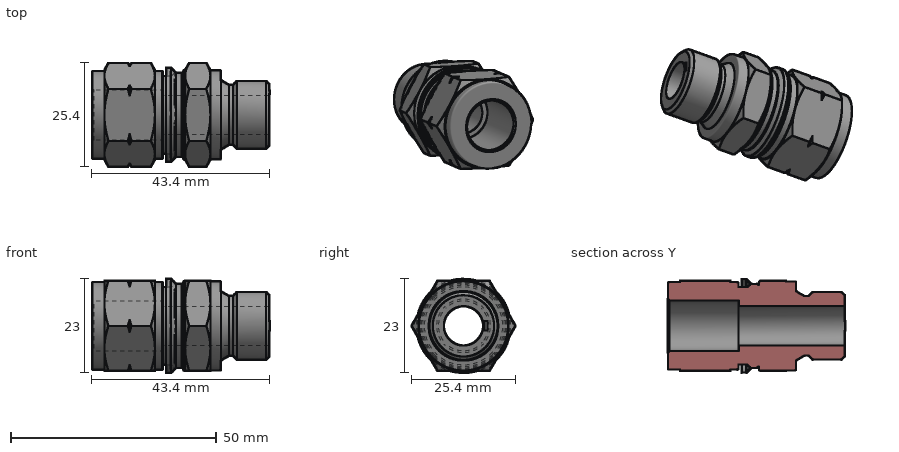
import cadquery as cq
import math

TUBE_END_DIA = 21.5
TUBE_END_ROUND = 0.4
NUT_HEX_START = 3.0
NUT_HEX_END = 15.3
NUT_END = 17.3
NUT_END_CHAMFER = 0.25

HEX_SIDES = 6
HEX_ACROSS_FLATS = 22.0
HEX_ACROSS_CORNERS = HEX_ACROSS_FLATS / math.cos(math.pi / HEX_SIDES)
HEX_CORNER_DROP = (HEX_ACROSS_CORNERS - HEX_ACROSS_FLATS) / 2
HEX_CHAMFER_ANGLE = 30.0
HEX_CHAMFER_LENGTH = HEX_CORNER_DROP * math.tan(math.radians(HEX_CHAMFER_ANGLE))
HEX_END_CLEARANCE = 0.01

NOTCH_DEPTH = 0.75
NOTCH_HALF_WIDTH = 0.45

NECK_DIA = 19.05
FLANGE_DIA = 23.0
FLANGE_START = 18.05
FLANGE_END = 19.25
FLANGE_WALL = 0.25
FLANGE_SLOPE_ANGLE = 45.0
RAMP_START = 19.4
SHOULDER_DIA = 20.6
SHOULDER_DROP = (FLANGE_DIA - SHOULDER_DIA) / 2
SHOULDER_START = FLANGE_END + SHOULDER_DROP / math.tan(math.radians(FLANGE_SLOPE_ANGLE))
SHOULDER_CHAMFER = 0.35

BODY_START = 22.2
BODY_ROUND = 0.5
BODY_HEX_START = BODY_START + BODY_ROUND
BODY_HEX_END = 28.83
COLLAR_DIA = 21.8
COLLAR_END = 31.4
COLLAR_ROUND = 0.3

SEAT_DIA = 17.0
RELIEF_DIA = 14.7
RELIEF_START = 33.35
RELIEF_END = 34.37
STUD_DIA = 16.62
STUD_START = RELIEF_END + (STUD_DIA - RELIEF_DIA) / 2
STUD_END = 43.25
STUD_CHAMFER = 0.83

PAD_HEIGHT = 0.1
PAD_RADIAL = 0.8
PAD_WIDTH = 2.3
PAD_CENTRE_Y = 5.5

BORE_DIA = 9.5
TUBE_SOCKET_DIA = 12.2
TUBE_SOCKET_DEPTH = 17.3
SOCKET_MOUTH_DIA = 13.1


def round_bar(start, end, dia):
    """Cylinder along X between two stations."""
    return cq.Workplane("YZ", origin=(start, 0, 0)).circle(dia / 2).extrude(end - start)


def revolve_profile(points):
    """Solid turned about the X axis from a closed (station, radius) outline."""
    return cq.Workplane("XY").polyline(points).close().revolve(360, (0, 0, 0), (1, 0, 0))


def cone(start, end, start_dia, end_dia):
    """Cone frustum along X between two stations."""
    profile = [(start, 0), (start, start_dia / 2), (end, end_dia / 2), (end, 0)]
    return revolve_profile(profile)


def chamfered_hexagon(start, end):
    """Hexagon along X, flats up and down, corners turned off conically at both ends."""
    hexagon = (
        cq.Workplane("YZ", origin=(start, 0, 0))
        .polygon(HEX_SIDES, HEX_ACROSS_CORNERS)
        .extrude(end - start)
    )
    end_radius = HEX_ACROSS_FLATS / 2 - HEX_END_CLEARANCE
    corner_radius = HEX_ACROSS_CORNERS / 2
    envelope = revolve_profile([
        (start, 0),
        (start, end_radius),
        (start + HEX_CHAMFER_LENGTH, corner_radius),
        (end - HEX_CHAMFER_LENGTH, corner_radius),
        (end, end_radius),
        (end, 0),
    ])
    return hexagon.intersect(envelope)


def corner_notches():
    """Ring-shaped V cutter that reaches only the corners of the nut hexagon."""
    middle = (NUT_HEX_START + NUT_HEX_END) / 2
    corner_radius = HEX_ACROSS_CORNERS / 2
    profile = [
        (middle - NOTCH_HALF_WIDTH, corner_radius),
        (middle, corner_radius - NOTCH_DEPTH),
        (middle + NOTCH_HALF_WIDTH, corner_radius),
    ]
    return revolve_profile(profile)


def make_nut():
    tube_end = round_bar(0, NUT_HEX_START, TUBE_END_DIA).faces("<X").edges().fillet(TUBE_END_ROUND)
    hexagon = chamfered_hexagon(NUT_HEX_START, NUT_HEX_END).cut(corner_notches())
    skirt = round_bar(NUT_HEX_END, NUT_END, TUBE_END_DIA).faces(">X").edges().chamfer(NUT_END_CHAMFER)
    return tube_end.union(hexagon).union(skirt)


def flange_undercut():
    """Ring cutter that leaves the flange as a thin wall over the neck and a 45 degree ramp.

    The inner wall follows the rim and the 45 degree slope of the flange at a constant thickness.
    """
    neck_radius = NECK_DIA / 2
    inner_radius = FLANGE_DIA / 2 - FLANGE_WALL
    inner_bend = FLANGE_END - FLANGE_WALL * math.tan(math.radians(FLANGE_SLOPE_ANGLE / 2))
    ramp_rise = (inner_radius + inner_bend - neck_radius - RAMP_START) / 2
    profile = [
        (FLANGE_START, neck_radius),
        (RAMP_START, neck_radius),
        (RAMP_START + ramp_rise, neck_radius + ramp_rise),
        (inner_bend, inner_radius),
        (FLANGE_START, inner_radius),
    ]
    return revolve_profile(profile)


def make_flange():
    neck = round_bar(NUT_END, FLANGE_START, NECK_DIA)
    flange = round_bar(FLANGE_START, FLANGE_END, FLANGE_DIA)
    slope = cone(FLANGE_END, SHOULDER_START, FLANGE_DIA, SHOULDER_DIA)
    shoulder = round_bar(SHOULDER_START, BODY_START, SHOULDER_DIA)
    shoulder = shoulder.faces(">X").edges().chamfer(SHOULDER_CHAMFER)
    ring = flange.union(slope).cut(flange_undercut())
    return neck.union(ring).union(shoulder)


def make_body():
    face = round_bar(BODY_START, BODY_HEX_START + BODY_ROUND, HEX_ACROSS_FLATS)
    face = face.faces("<X").edges().fillet(BODY_ROUND)
    hexagon = chamfered_hexagon(BODY_HEX_START, BODY_HEX_END)
    collar = round_bar(BODY_HEX_END, COLLAR_END, COLLAR_DIA).faces(">X").edges().fillet(COLLAR_ROUND)
    return face.union(hexagon).union(collar)


def make_stud():
    seat = cone(COLLAR_END, RELIEF_START, SEAT_DIA, RELIEF_DIA)
    relief = round_bar(RELIEF_START, RELIEF_END, RELIEF_DIA)
    runout = cone(RELIEF_END, STUD_START, RELIEF_DIA, STUD_DIA)
    stud = round_bar(STUD_START, STUD_END, STUD_DIA).faces(">X").edges().chamfer(STUD_CHAMFER)
    pad = (
        cq.Workplane("YZ", origin=(STUD_END, PAD_CENTRE_Y, 0))
        .rect(PAD_RADIAL, PAD_WIDTH)
        .extrude(PAD_HEIGHT)
    )
    return seat.union(relief).union(runout).union(stud).union(pad)


def make_bore():
    through = round_bar(0, STUD_END, BORE_DIA)
    socket = round_bar(0, TUBE_SOCKET_DEPTH, TUBE_SOCKET_DIA)
    mouth_depth = (SOCKET_MOUTH_DIA - TUBE_SOCKET_DIA) / 2
    mouth = cone(0, mouth_depth, SOCKET_MOUTH_DIA, TUBE_SOCKET_DIA)
    return through.union(socket).union(mouth)


fitting = make_nut().union(make_flange()).union(make_body()).union(make_stud())
result = fitting.cut(make_bore())